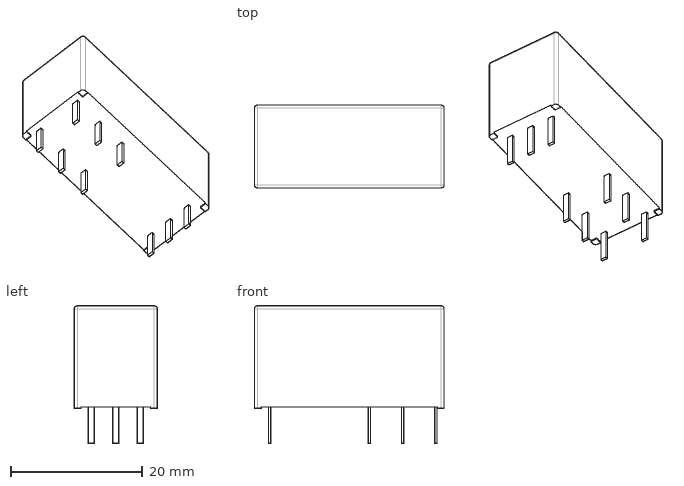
import cadquery as cq

LENGTH = 29.0
WIDTH = 12.7
HEIGHT = 21.0

CASE_HEIGHT = 15.7
EDGE_RADIUS = 0.5
FOOT_SIZE = 1.07
FOOT_HEIGHT = 0.2

PIN_THICKNESS = 0.4
PIN_WIDTH = 1.0
PIN_PITCH = 5.08
ROW_SPACING = 3.75
LAST_PIN_X = 13.22
COIL_PIN_X = LAST_PIN_X - 5 * PIN_PITCH

FOOT_BOTTOM = HEIGHT - CASE_HEIGHT
UNDERSIDE = FOOT_BOTTOM + FOOT_HEIGHT


def make_case():
    """Rounded block whose underside is recessed in a cross, leaving a foot at each corner."""
    case = (
        cq.Workplane("XY")
        .workplane(offset=FOOT_BOTTOM)
        .rect(LENGTH, WIDTH)
        .extrude(CASE_HEIGHT)
        .edges("|Z or >Z")
        .fillet(EDGE_RADIUS)
    )
    recess_sizes = (
        (LENGTH - 2 * FOOT_SIZE, WIDTH),
        (LENGTH, WIDTH - 2 * FOOT_SIZE),
    )
    for recess_length, recess_width in recess_sizes:
        recess = (
            cq.Workplane("XY")
            .workplane(offset=FOOT_BOTTOM)
            .rect(recess_length, recess_width)
            .extrude(FOOT_HEIGHT)
        )
        case = case.cut(recess)
    return case


def make_pins():
    """Flat pins: three at the coil end, and three pairs at the contact end."""
    coil_pins = [(COIL_PIN_X, row * ROW_SPACING) for row in (-1, 0, 1)]
    contact_pins = [
        (LAST_PIN_X - step * PIN_PITCH, side * ROW_SPACING)
        for step in range(3)
        for side in (-1, 1)
    ]
    return (
        cq.Workplane("XY")
        .pushPoints(coil_pins + contact_pins)
        .rect(PIN_THICKNESS, PIN_WIDTH)
        .extrude(UNDERSIDE)
    )


result = make_case().union(make_pins())